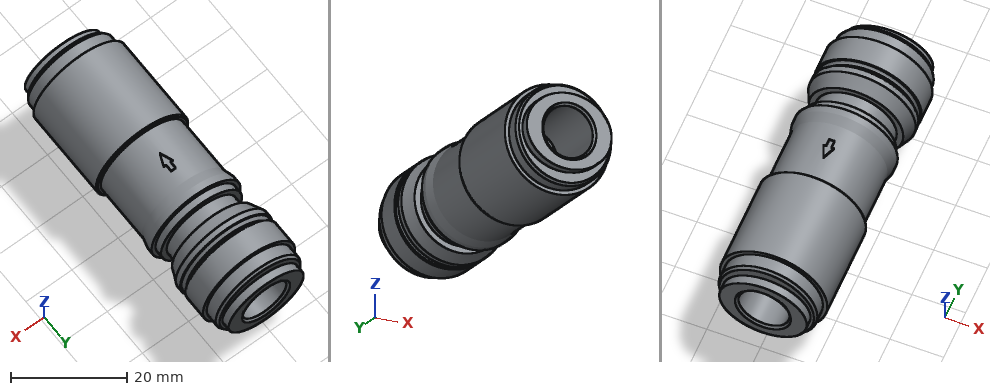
import cadquery as cq

length = 57.8
outer_radius = 10.0

collar_length = 1.75
collar_half_width = 8.15
collar_half_height = 6.95

ring_radius = 9.2
ring_length = 3.1
ring_chamfer_depth = 0.4
ring_chamfer_length = 0.6

head_end = 9.8
groove_rim_radius = 9.7
groove_root_radius = 9.25
groove_root = 10.5
groove_bend_radius = 9.35
groove_bend = 10.1
groove_end = 11.3
head_cone_start = 12.6
head_cone_end = 15.25
head_cone_radius = 8.8

neck_radius = 7.6
neck_end = 18.3
step_radius = 8.8
step_end = 19.9
band_radius = 9.65
band_end = 21.3
band_taper_end = 23.25

body_radius = 9.15
sleeve_start = 34.95
sleeve_chamfer_depth = 0.3
sleeve_chamfer_length = 0.25

bore_radius = 3.45
socket_radius = 4.75
socket_depth = 14.45
socket_chamfer = 0.45

arrow_tail = 26.3
arrow_length = 3.9
arrow_head_length = 2.4
arrow_head_width = 1.95
arrow_shaft_width = 1.0
arrow_depth = 0.2

end_y = length / 2
ring_outer_end = collar_length + ring_length


def make_shell():
    """Revolve the outer profile, given as radius and distance from the +Y end."""
    chamfered_radius = ring_radius - ring_chamfer_depth
    chamfer_end = collar_length + ring_chamfer_length
    upper_profile = [
        (0, collar_length),
        (chamfered_radius, collar_length),
        (ring_radius, chamfer_end),
        (ring_radius, ring_outer_end),
        (outer_radius, ring_outer_end),
        (outer_radius, head_end),
        (groove_rim_radius, head_end),
    ]
    lower_profile = [
        (groove_root_radius, groove_root),
        (groove_rim_radius, groove_end),
        (outer_radius, groove_end),
        (outer_radius, head_cone_start),
        (head_cone_radius, head_cone_end),
        (neck_radius, head_cone_end),
        (neck_radius, neck_end),
        (step_radius, neck_end),
        (step_radius, step_end),
        (band_radius, step_end),
        (band_radius, band_end),
        (body_radius, band_taper_end),
        (body_radius, sleeve_start),
        (outer_radius - sleeve_chamfer_depth, sleeve_start),
        (outer_radius, sleeve_start + sleeve_chamfer_length),
        (outer_radius, length - ring_outer_end),
        (ring_radius, length - ring_outer_end),
        (ring_radius, length - chamfer_end),
        (chamfered_radius, length - collar_length),
        (0, length - collar_length),
    ]
    upper_points = [(radius, end_y - distance) for radius, distance in upper_profile]
    lower_points = [(radius, end_y - distance) for radius, distance in lower_profile]
    groove_bend_point = (groove_bend_radius, end_y - groove_bend)
    return (
        cq.Workplane("XY")
        .polyline(upper_points)
        .threePointArc(groove_bend_point, lower_points[0])
        .polyline(lower_points[1:], includeCurrent=True)
        .close()
        .revolve(360, (0, 0), (0, 1))
    )


def make_collars():
    """Elliptical collar at each end."""
    collars = cq.Workplane("XZ")
    for start_y in (end_y, collar_length - end_y):
        collar = (
            cq.Workplane("XZ", origin=(0, start_y, 0))
            .ellipse(collar_half_width, collar_half_height)
            .extrude(collar_length)
        )
        collars = collars.add(collar)
    return collars.combine()


def make_bore():
    """Through bore with a chamfered tube socket at each end."""
    socket_floor = end_y - socket_depth
    half_profile = [
        (bore_radius, socket_floor),
        (socket_radius, socket_floor),
        (socket_radius, end_y - socket_chamfer),
        (socket_radius + socket_chamfer, end_y),
    ]
    mirrored = [(radius, -y) for radius, y in reversed(half_profile)]
    points = [(0, end_y), (0, -end_y)] + mirrored + half_profile
    return cq.Workplane("XY").polyline(points).close().revolve(360, (0, 0), (0, 1))


def make_arrow():
    """Arrow pointing to -Y, with a floor concentric to the body."""
    tail_y = end_y - arrow_tail
    tip_y = tail_y - arrow_length
    barb_y = tip_y + arrow_head_length
    shaft_half = arrow_shaft_width / 2
    head_half = arrow_head_width / 2
    outline = [
        (-shaft_half, tail_y),
        (shaft_half, tail_y),
        (shaft_half, barb_y),
        (head_half, barb_y),
        (0, tip_y),
        (-head_half, barb_y),
        (-shaft_half, barb_y),
    ]
    prism = cq.Workplane("XY").polyline(outline).close().extrude(outer_radius)
    floor = cq.Workplane("XZ").circle(body_radius - arrow_depth).extrude(end_y, both=True)
    return prism.cut(floor)


result = make_shell().union(make_collars()).cut(make_bore()).cut(make_arrow())